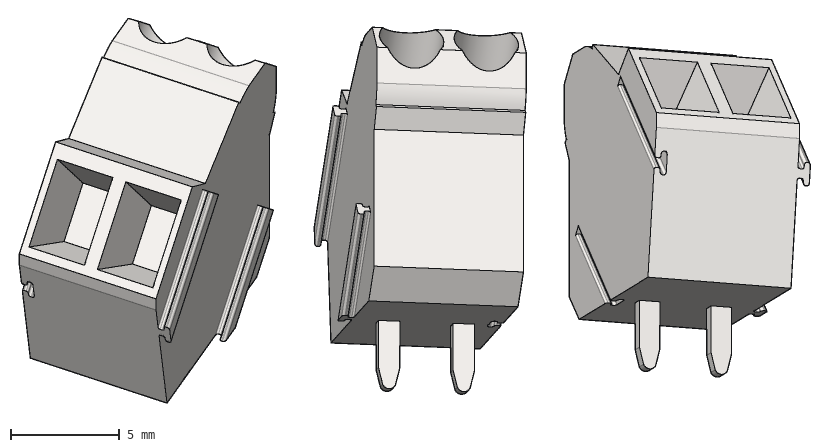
import cadquery as cq
import math

pole_count = 2
pole_pitch = 3.5
first_pole = 1.76
housing_width = pole_count * pole_pitch
housing_size = 12.7
underside_front = 1.16
underside_back = 10.64
back_face = 12.0
rear_chamfer = 1.35
nose_low = 6.82
nose_high = 7.52
entry_face_length = 5.42
notch = (5.22, 10.41)

head_lip = (8.75, 12.58)
head_arc_start = (8.87, 12.4)
head_arc_middle = (9.32, 12.6)
head_arc_end = (9.83, housing_size)
head_flat_end = 11.51
back_face_top = 7.79

screw_hole_diameter = 2.99
screw_hole_depth = 2.62

entry_mouth_middle_y = 1.81
entry_mouth_width = 2.83
entry_mouth_length = 4.25
entry_floor_width = 1.43
entry_floor_length = 2.83
entry_depth = 2.48

rail_depth = 0.6
rail_neck_depth = 0.3
rail_neck_width = 0.37
rail_head_width = 0.89
rail_neck_fillet = 0.1
rail_head_fillet = 0.13
rail_tops = [(5.12, 10.08), (10.92, 4.26)]

pin_width = 1.0
pin_thickness = 0.6
pin_length = 3.2
pin_taper_start = 2.21
pin_tip_start = 3.0
pin_tip_width = 0.6
pin_center_y = 6.19

pole_positions = [first_pole + i * pole_pitch for i in range(pole_count)]
diagonal = math.sqrt(0.5)


def mirrored(point):
    """Mirror a (Y, Z) point about the line Y = Z."""
    return (point[1], point[0])


def outline_block(width):
    """The housing outline, extruded from X = 0."""
    entry_rise = entry_face_length * diagonal
    head_flat = (head_flat_end, housing_size)
    return (
        cq.Workplane("YZ")
        .moveTo(underside_front, 0)
        .lineTo(0, nose_low)
        .lineTo(0, nose_high)
        .lineTo(entry_rise, nose_high + entry_rise)
        .lineTo(*notch)
        .lineTo(*head_lip)
        .lineTo(*head_arc_start)
        .threePointArc(head_arc_middle, head_arc_end)
        .lineTo(*head_flat)
        .lineTo(*mirrored(head_flat))
        .lineTo(*mirrored(head_arc_end))
        .threePointArc(mirrored(head_arc_middle), mirrored(head_arc_start))
        .lineTo(*mirrored(head_lip))
        .lineTo(back_face, back_face_top)
        .lineTo(back_face, rear_chamfer)
        .lineTo(underside_back, 0)
        .close()
        .extrude(width)
    )


def screw_hole(x):
    chamfer_middle = (head_flat_end + housing_size) / 2
    floor_middle = chamfer_middle - screw_hole_depth * diagonal
    floor = cq.Plane(origin=(x, floor_middle, floor_middle), xDir=(1, 0, 0), normal=(0, 1, 1))
    radius = screw_hole_diameter / 2
    return cq.Workplane(floor).circle(radius).extrude(screw_hole_depth + radius)


def wire_entry(x):
    mouth_middle = (x, entry_mouth_middle_y, nose_high + entry_mouth_middle_y)
    mouth = cq.Plane(origin=mouth_middle, xDir=(1, 0, 0), normal=(0, 1, -1))
    return (
        cq.Workplane(mouth)
        .rect(entry_mouth_width, entry_mouth_length)
        .workplane(offset=entry_depth)
        .rect(entry_floor_width, entry_floor_length)
        .loft(ruled=True)
    )


def rail(x, top):
    """A T-shaped bar on the plane X = x, running forward and down past the outline from its square end."""
    neck = rail_neck_width / 2
    head = rail_head_width / 2
    end = cq.Plane(origin=(x, *top), xDir=(1, 0, 0), normal=(0, -1, -1))
    return (
        cq.Workplane(end)
        .lineTo(0, neck + rail_neck_fillet)
        .radiusArc((rail_neck_fillet, neck), -rail_neck_fillet)
        .lineTo(rail_neck_depth - rail_neck_fillet, neck)
        .radiusArc((rail_neck_depth, neck + rail_neck_fillet), -rail_neck_fillet)
        .lineTo(rail_neck_depth, head - rail_head_fillet)
        .radiusArc((rail_neck_depth + rail_head_fillet, head), rail_head_fillet)
        .lineTo(rail_depth - rail_head_fillet, head)
        .radiusArc((rail_depth, head - rail_head_fillet), rail_head_fillet)
        .lineTo(rail_depth, 0)
        .mirrorX()
        .extrude(housing_size)
    )


def build_housing():
    body = outline_block(housing_width)
    for x in pole_positions:
        body = body.cut(screw_hole(x)).cut(wire_entry(x))
    rail_limit = outline_block(housing_width + rail_depth)
    for top in rail_tops:
        body = body.cut(rail(0, top))
        body = body.union(rail(housing_width, top).intersect(rail_limit))
    return body


def build_pin(x):
    """A flat pin below the underside, with a tapered end and a rounded tip."""
    start = cq.Plane(origin=(x, pin_center_y, 0), xDir=(1, 0, 0), normal=(0, -1, 0))
    return (
        cq.Workplane(start)
        .moveTo(-pin_width / 2, 0)
        .lineTo(-pin_width / 2, -pin_taper_start)
        .lineTo(-pin_tip_width / 2, -pin_tip_start)
        .threePointArc((0, -pin_length), (pin_tip_width / 2, -pin_tip_start))
        .lineTo(pin_width / 2, -pin_taper_start)
        .lineTo(pin_width / 2, 0)
        .close()
        .extrude(pin_thickness / 2, both=True)
    )


housing = build_housing()
pins = [build_pin(x) for x in pole_positions]
result = cq.Compound.makeCompound([housing.val(), *[pin.val() for pin in pins]])